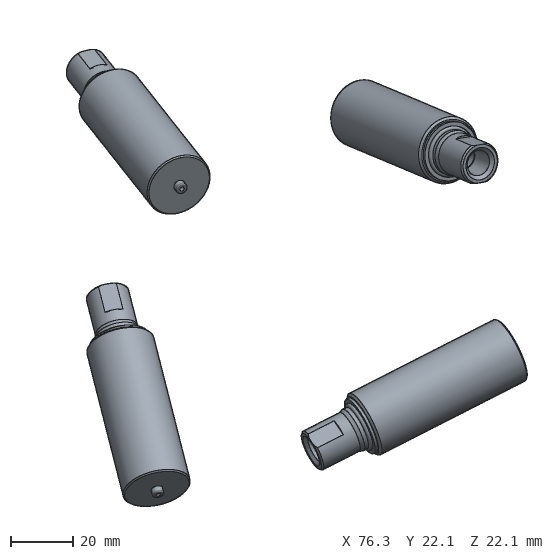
import math

import cadquery as cq

total_length = 76.3

body_diameter = 22.1
body_start = 19.0
body_front_chamfer = 0.8
body_rear_chamfer = 0.45

pin_diameter = 3.8
pin_length = 2.3
pin_fillet = 0.45

shank_diameter = 14.0
shank_chamfer = 0.5
neck_cone_start = 14.1
neck_start = 15.5
neck_diameter = 14.95
ring_start = 16.9
ring_diameter = 16.9
ring_section_diameter = 1.7
collar_start = 18.0
collar_diameter = 19.5

flat_spacing = 12.7
flat_length = 10.15

mouth_diameter = 10.7
mouth_depth = 1.15
bore_diameter = 8.4
bore_depth = 10.15
inner_bore_diameter = 7.9
inner_bore_depth = 15.25
floor_cone_angle = 118.0

passage_diameter = 1.5


def revolve_about_x(profile):
    """Turn a closed profile in the XY plane, Y being the radius, into a solid around X."""
    return profile.close().revolve(360, (0, 0, 0), (1, 0, 0))


def cylinder_along_x(diameter, start, end):
    return cq.Workplane("YZ").workplane(offset=start).circle(diameter / 2).extrude(end - start)


def make_shank_and_neck():
    shank_radius = shank_diameter / 2
    neck_radius = neck_diameter / 2
    profile = (
        cq.Workplane("XY")
        .lineTo(0, shank_radius - shank_chamfer)
        .lineTo(shank_chamfer, shank_radius)
        .lineTo(neck_cone_start, shank_radius)
        .lineTo(neck_start, neck_radius)
        .lineTo(collar_start, neck_radius)
        .lineTo(collar_start, 0)
    )
    return revolve_about_x(profile)


def make_round_ring():
    """Make a ring of circular section that sinks partly into the neck and the collar."""
    section_radius = ring_section_diameter / 2
    section_center = (ring_start + section_radius, ring_diameter / 2 - section_radius)
    section = cq.Workplane("XY").center(*section_center).circle(section_radius)
    return section.revolve(360, (0, -section_center[1], 0), (1, -section_center[1], 0))


def make_body():
    body_end = total_length - pin_length
    body = cylinder_along_x(body_diameter, body_start, body_end)
    return body.faces("<X").chamfer(body_front_chamfer).faces(">X").chamfer(body_rear_chamfer)


def make_pin():
    pin = cylinder_along_x(pin_diameter, total_length - pin_length, total_length)
    return pin.faces(">X").edges().fillet(pin_fillet)


def cut_wrench_flats(part):
    flat_depth = (body_diameter - flat_spacing) / 2
    for side in (1, -1):
        center = (flat_length / 2, 0, side * (flat_spacing + flat_depth) / 2)
        cutter = cq.Workplane("XY").box(flat_length, body_diameter, flat_depth)
        part = part.cut(cutter.translate(center))
    return part


def make_bore():
    passage_radius = passage_diameter / 2
    inner_radius = inner_bore_diameter / 2
    cone_depth = (inner_radius - passage_radius) / math.tan(math.radians(floor_cone_angle / 2))
    profile = (
        cq.Workplane("XY")
        .lineTo(0, mouth_diameter / 2)
        .lineTo(mouth_depth, bore_diameter / 2)
        .lineTo(bore_depth, bore_diameter / 2)
        .lineTo(bore_depth, inner_radius)
        .lineTo(inner_bore_depth, inner_radius)
        .lineTo(inner_bore_depth + cone_depth, passage_radius)
        .lineTo(total_length, passage_radius)
        .lineTo(total_length, 0)
    )
    return revolve_about_x(profile)


collar = cylinder_along_x(collar_diameter, collar_start, body_start)

part = make_shank_and_neck().union(make_round_ring()).union(collar).union(make_body()).union(make_pin())
result = cut_wrench_flats(part).cut(make_bore())